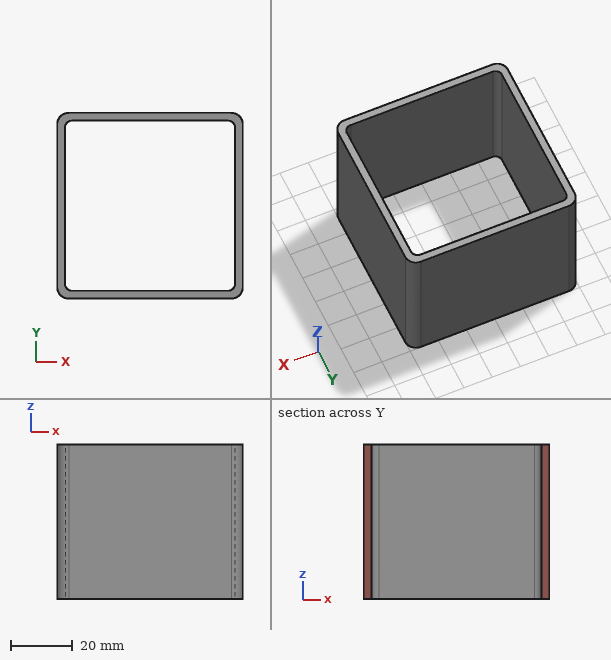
import cadquery as cq

width = 60.0
height = 50.0
wall = 2.6
outer_radius = 3.8
inner_radius = 2.3


def rounded_block(side, corner_radius):
    """Square block of the tube's height with rounded vertical edges."""
    return cq.Workplane("XY").box(side, side, height).edges("|Z").fillet(corner_radius)


outer_body = rounded_block(width, outer_radius)
bore = rounded_block(width - 2 * wall, inner_radius)

result = outer_body.cut(bore)